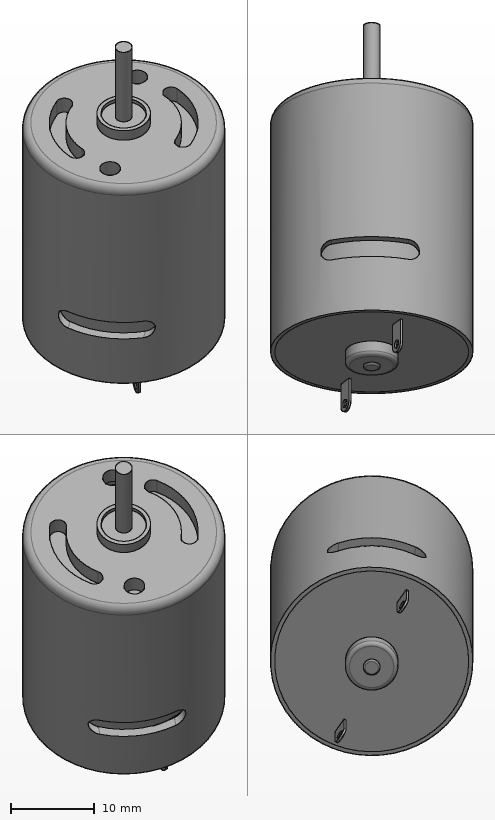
import cadquery as cq
import math

can_height = 30.8
collar_top = 32.3
shaft_top = 42.8
shaft_bottom = -2.1

can_diameter = 24.2
bore_diameter = 22.0
top_fillet = 1.0
top_thickness = 2.2
collar_diameter = 6.4
collar_recess_diameter = 5.4
collar_recess_depth = 0.5

twin_angles = (0.0, 180.0)
mount_hole_diameter = 2.46
mount_hole_radius = 8.5
mount_hole_angle = 150.0
vent_width = 2.0
vent_mid_radius = 7.9
vent_start_angle = 45.0
vent_end_angle = 115.0
window_length = 11.8
window_height = 2.6
window_level = 8.35
window_angle = 150.0

shaft_diameter = 2.0
shaft_end_fillet = 0.2
core_diameter = 19.0
core_bottom = 5.0
core_clearance = 0.3
core_top = can_height - top_thickness - core_clearance

cap_diameter = 23.2
cap_thickness = 1.5
boss_diameter = 6.3
boss_height = 1.8
boss_fillet = 0.5
terminal_width = 2.0
terminal_thickness = 0.3
terminal_length = 3.9
terminal_hole_diameter = 1.0
terminal_x = -9.0
terminal_y = 1.45


def disc(diameter, bottom, top):
    """Upright cylinder on the motor axis between two levels."""
    return cq.Workplane("XY", origin=(0, 0, bottom)).circle(diameter / 2).extrude(top - bottom)


def twins(shape):
    """The shape and its copy half a turn around the motor axis."""
    return [shape.rotate((0, 0, 0), (0, 0, 1), angle) for angle in twin_angles]


def polar(radius, angle):
    """Point in the XY plane at a radius and an angle in degrees."""
    return (radius * math.cos(math.radians(angle)), radius * math.sin(math.radians(angle)))


def vent_cutter():
    """Curved slot with round ends, centred on the motor axis."""
    inner = vent_mid_radius - vent_width / 2
    outer = vent_mid_radius + vent_width / 2
    middle_angle = (vent_start_angle + vent_end_angle) / 2
    band = (
        cq.Workplane("XY", origin=(0, 0, can_height - top_thickness))
        .moveTo(*polar(inner, vent_start_angle))
        .threePointArc(polar(inner, middle_angle), polar(inner, vent_end_angle))
        .tangentArcPoint(polar(outer, vent_end_angle), relative=False)
        .threePointArc(polar(outer, middle_angle), polar(outer, vent_start_angle))
        .tangentArcPoint(polar(inner, vent_start_angle), relative=False)
        .close()
    )
    return band.extrude(top_thickness)


def mount_hole_cutter():
    """Round mounting hole through the top of the can."""
    return (
        cq.Workplane("XY", origin=(0, 0, can_height - top_thickness))
        .center(*polar(mount_hole_radius, mount_hole_angle))
        .circle(mount_hole_diameter / 2)
        .extrude(top_thickness)
    )


def window_cutter():
    """Obround window cut straight outwards through one side of the can wall."""
    return (
        cq.Workplane("YZ", origin=(0, 0, window_level))
        .slot2D(window_length, window_height)
        .extrude(can_diameter / 2)
        .rotate((0, 0, 0), (0, 0, 1), window_angle)
    )


def make_can():
    """Cup with a seat for the end cap, a top collar, and all its openings."""
    can = disc(can_diameter, 0, can_height).faces(">Z").edges().fillet(top_fillet)
    can = can.union(disc(collar_diameter, can_height, collar_top))
    can = can.cut(disc(bore_diameter, 0, can_height - top_thickness))
    can = can.cut(disc(cap_diameter, 0, cap_thickness))
    can = can.cut(disc(collar_recess_diameter, collar_top - collar_recess_depth, collar_top))
    can = can.cut(disc(shaft_diameter, 0, collar_top))
    for cutter in (vent_cutter(), mount_hole_cutter(), window_cutter()):
        for opening in twins(cutter):
            can = can.cut(opening)
    return can


def make_rotor():
    """Output shaft carrying a plain cylindrical core inside the can."""
    shaft = disc(shaft_diameter, shaft_bottom, shaft_top)
    shaft = shaft.faces("<Z").edges().fillet(shaft_end_fillet)
    return shaft.union(disc(core_diameter, core_bottom, core_top))


def make_terminal():
    """Flat solder tab below the cap, with a round tip and a hole."""
    tip_center = terminal_width / 2 - terminal_length
    plane = cq.Workplane("XZ", origin=(terminal_x, terminal_y, 0))
    tab = (
        plane.moveTo(-terminal_width / 2, 0)
        .lineTo(-terminal_width / 2, tip_center)
        .threePointArc((0, -terminal_length), (terminal_width / 2, tip_center))
        .lineTo(terminal_width / 2, 0)
        .close()
        .extrude(terminal_thickness / 2, both=True)
    )
    hole = plane.center(0, tip_center).circle(terminal_hole_diameter / 2)
    return tab.cut(hole.extrude(terminal_thickness, both=True))


def make_end_cap():
    """Disc flush with the can rim, with a bearing boss and two terminals below."""
    boss = disc(boss_diameter, -boss_height, 0).faces("<Z").edges().fillet(boss_fillet)
    cap = disc(cap_diameter, 0, cap_thickness).union(boss)
    for terminal in twins(make_terminal()):
        cap = cap.union(terminal)
    return cap.cut(disc(shaft_diameter, -boss_height, cap_thickness))


can = make_can()
rotor = make_rotor()
end_cap = make_end_cap()

result = cq.Compound.makeCompound([can.val(), rotor.val(), end_cap.val()])